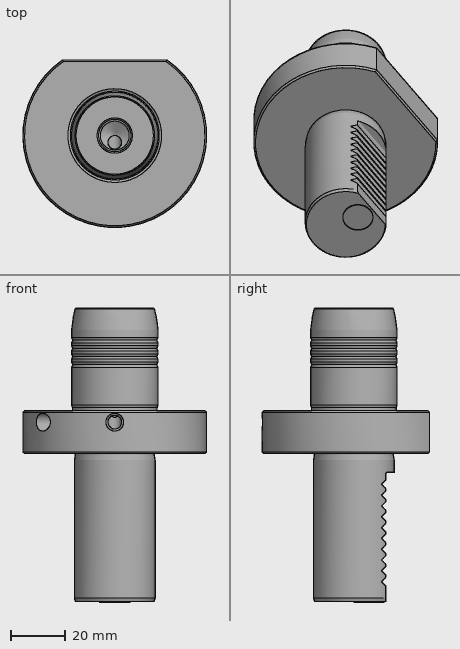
import cadquery as cq
import math


top_z = 109.0
flange_top_z = 71.0
flange_thickness = 15.9
flange_bottom_z = flange_top_z - flange_thickness
plug_thickness = 0.3
shank_bottom_z = plug_thickness

shank_diameter = 30.0
shank_radius = shank_diameter / 2
shank_chamfer_width = 0.4
shank_chamfer_height = 1.3

flange_radius = 34.0
flange_chamfer = 0.7
flat_y = 28.0

nose_radius = 16.0
nose_tip_radius = 14.7
nose_tip_chamfer = 0.4
nose_taper_height = 8.3
nose_taper_bulge = 0.2

foot_relief_depth = 0.3
nose_relief_slope_height = 1.0
nose_relief_height = 2.1
shank_relief_height = 2.5
shank_relief_slope_height = 2.0
face_groove_depth = 0.4
face_groove_floor_radius = 16.5
face_groove_outer_radius = 17.3

groove_count = 4
groove_width = 2.0
groove_depth = 0.4
first_groove_z = 97.0
last_groove_z = 88.0
groove_pitch = (first_groove_z - last_groove_z) / (groove_count - 1)

bore_radius = 6.0
bore_chamfer = 0.5
pilot_radius = 5.3
pilot_depth = 2.2
drill_tip_angle = 118.0
bore_tip_z = 68.3

channel_radius = 2.5
channel_z = 66.7
port_radius = 3.3
front_port_depth = 3.3
side_port_depth = 10.9
side_port_y = -21.0
riser_y = -channel_radius

rack_y = 11.9
rack_top_z = 48.2
rack_corner_radius = 0.5
valley_count = 10
tooth_depth = 1.6
first_valley_z = 43.7
last_valley_z = 7.7
valley_pitch = (first_valley_z - last_valley_z) / (valley_count - 1)

plug_radius = 5.6
plug_y = 5.6


def drill_tip_height(radius):
    """Height of a drill point of the given radius."""
    return radius / math.tan(math.radians(drill_tip_angle / 2))


def revolved(points):
    """Solid of revolution about Z from (radius, height) points."""
    return cq.Workplane("XZ").polyline(points).close().revolve(360, (0, 0, 0), (0, 1, 0))


def make_shank():
    neck_radius = shank_radius - foot_relief_depth
    neck_bottom_z = flange_bottom_z - shank_relief_height
    return revolved([
        (0, shank_bottom_z),
        (shank_radius - shank_chamfer_width, shank_bottom_z),
        (shank_radius, shank_bottom_z + shank_chamfer_height),
        (shank_radius, neck_bottom_z),
        (neck_radius, neck_bottom_z + shank_relief_slope_height),
        (neck_radius, flange_bottom_z),
        (0, flange_bottom_z),
    ])


def make_flange():
    disc = cq.Workplane("XY").workplane(offset=flange_bottom_z).circle(flange_radius).extrude(flange_thickness)
    beyond_flat = (
        cq.Workplane("XY")
        .workplane(offset=flange_bottom_z)
        .center(0, flat_y + flange_radius / 2)
        .rect(2 * flange_radius, flange_radius)
        .extrude(flange_thickness)
    )
    return disc.cut(beyond_flat).faces("<Z or >Z").chamfer(flange_chamfer)


def make_nose():
    taper_bottom_z = top_z - nose_taper_height
    taper_top_z = top_z - nose_tip_chamfer
    taper_middle = (
        (nose_radius + nose_tip_radius) / 2 + nose_taper_bulge,
        (taper_bottom_z + taper_top_z) / 2,
    )
    return (
        cq.Workplane("XZ")
        .moveTo(0, flange_top_z)
        .lineTo(nose_radius, flange_top_z)
        .lineTo(nose_radius, taper_bottom_z)
        .threePointArc(taper_middle, (nose_tip_radius, taper_top_z))
        .lineTo(nose_tip_radius - nose_tip_chamfer, top_z)
        .lineTo(0, top_z)
        .close()
        .revolve(360, (0, 0, 0), (0, 1, 0))
    )


def make_nose_relief():
    """Relief cut into the foot of the nose and into the flange face around it."""
    neck_radius = nose_radius - foot_relief_depth
    relief_top_z = flange_top_z + nose_relief_height
    floor_z = flange_top_z - face_groove_depth
    return revolved([
        (neck_radius, floor_z),
        (face_groove_floor_radius, floor_z),
        (face_groove_outer_radius, flange_top_z),
        (face_groove_outer_radius, relief_top_z),
        (nose_radius, relief_top_z),
        (neck_radius, relief_top_z - nose_relief_slope_height),
    ])


def make_v_groove(middle_z):
    return revolved([
        (nose_radius, middle_z - groove_width / 2),
        (nose_radius - groove_depth, middle_z),
        (nose_radius, middle_z + groove_width / 2),
    ])


def make_bore():
    """Chamfered bore stepping down to a short drilled hole with a conical end."""
    pilot_bottom_z = bore_tip_z + drill_tip_height(pilot_radius)
    step_z = pilot_bottom_z + pilot_depth
    return revolved([
        (0, bore_tip_z),
        (pilot_radius, pilot_bottom_z),
        (pilot_radius, step_z),
        (bore_radius, step_z),
        (bore_radius, top_z - bore_chamfer),
        (bore_radius + bore_chamfer, top_z),
        (0, top_z),
    ])


def make_port(depth, length):
    """Stepped hole along +Z from the origin: wide port, drill-point shoulder, then a narrow channel."""
    shoulder_end = depth + drill_tip_height(port_radius) - drill_tip_height(channel_radius)
    return revolved([
        (0, 0),
        (port_radius, 0),
        (port_radius, depth),
        (channel_radius, shoulder_end),
        (channel_radius, length),
        (0, length),
    ])


def make_front_port():
    """Port along Y from the -Y side of the flange to the riser."""
    port = make_port(front_port_depth, flange_radius + riser_y)
    return port.rotate((0, 0, 0), (1, 0, 0), -90).translate((0, -flange_radius, channel_z))


def make_side_port():
    """Port along X that runs from the -X side of the flange into the front port's channel."""
    port = make_port(side_port_depth, flange_radius)
    return port.rotate((0, 0, 0), (0, 1, 0), 90).translate((-flange_radius, side_port_y, channel_z))


def make_riser():
    """Vertical channel up to the conical end of the bore, with a mitred elbow at its foot."""
    foot = cq.Workplane("XY", origin=(0, riser_y, channel_z))
    height = bore_tip_z + drill_tip_height(pilot_radius) - channel_z
    upright = foot.circle(channel_radius).extrude(height)
    vertical_core = foot.circle(channel_radius).extrude(channel_radius, both=True)
    horizontal_core = (
        cq.Workplane("XZ", origin=(0, riser_y, channel_z))
        .circle(channel_radius)
        .extrude(channel_radius, both=True)
    )
    return upright.union(vertical_core.intersect(horizontal_core))


def make_rack_cut():
    """Material removed beside the shank to leave a flat with 90-degree serrations."""
    outline = (
        cq.Workplane("YZ")
        .moveTo(shank_radius, 0)
        .lineTo(shank_radius, rack_top_z)
        .lineTo(rack_y + rack_corner_radius, rack_top_z)
        .radiusArc((rack_y, rack_top_z - rack_corner_radius), -rack_corner_radius)
    )
    for index in range(valley_count):
        valley_z = first_valley_z - index * valley_pitch
        outline = outline.lineTo(rack_y, valley_z + tooth_depth)
        outline = outline.lineTo(rack_y - tooth_depth, valley_z)
        outline = outline.lineTo(rack_y, valley_z - tooth_depth)
    return outline.lineTo(rack_y, 0).close().extrude(shank_radius, both=True)


def make_plug():
    return cq.Workplane("XY").center(0, plug_y).circle(plug_radius).extrude(plug_thickness)


body = make_shank().union(make_flange()).union(make_nose())
body = body.cut(make_nose_relief())
for groove_index in range(groove_count):
    body = body.cut(make_v_groove(first_groove_z - groove_index * groove_pitch))
body = body.cut(make_rack_cut())
body = body.union(make_plug())
for hole in (make_bore(), make_front_port(), make_side_port(), make_riser()):
    body = body.cut(hole)

result = body